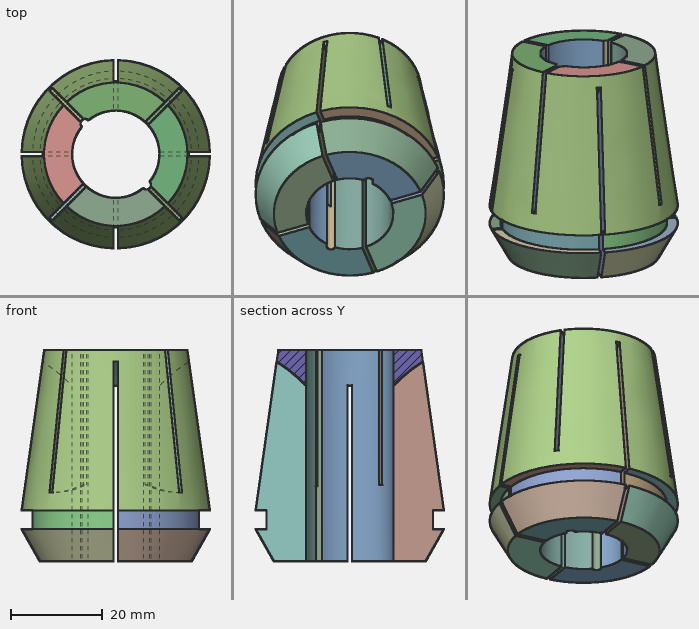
import cadquery as cq

height = 46.0
outer_radius = 20.495
top_radius = 15.6
base_radius = 16.5
bore_radius = 9.48

groove_radius = 18.12
groove_bottom = 7.05
groove_top = 11.15

slot_width = 0.87
cutter_radius = 32.2
lower_slot_top_outer = 43.45
lower_slot_top_bore = 38.2
upper_slot_floor_outer = 14.95
upper_slot_floor_bore = 16.7

relief_radius = 0.95

clearance = 2.3


def taper_radius(z):
    """Radius of the long taper at height z."""
    fraction = (z - groove_top) / (height - groove_top)
    return outer_radius + fraction * (top_radius - outer_radius)


def slot_cutter(end_outer, end_bore, open_z, arc_radius):
    """Radial slot along +X from the arc-shaped end to open_z."""
    inside = bore_radius - clearance
    outside = outer_radius + clearance
    return (
        cq.Workplane("XZ")
        .moveTo(inside, open_z)
        .lineTo(inside, end_bore)
        .lineTo(bore_radius, end_bore)
        .radiusArc((taper_radius(end_outer), end_outer), arc_radius)
        .lineTo(outside, end_outer)
        .lineTo(outside, open_z)
        .close()
        .extrude(slot_width / 2, both=True)
    )


def cut_around(body, cutter, angles):
    """Cut copies of the cutter, turned about Z to each angle."""
    for angle in angles:
        body = body.cut(cutter.rotate((0, 0, 0), (0, 0, 1), angle))
    return body


body = (
    cq.Workplane("XZ")
    .moveTo(bore_radius, 0)
    .lineTo(base_radius, 0)
    .lineTo(outer_radius, groove_bottom)
    .lineTo(groove_radius, groove_bottom)
    .lineTo(groove_radius, groove_top)
    .lineTo(outer_radius, groove_top)
    .lineTo(top_radius, height)
    .lineTo(bore_radius, height)
    .close()
    .revolve(360, (0, 0, 0), (0, 1, 0))
)

lower_slot = slot_cutter(lower_slot_top_outer, lower_slot_top_bore, -clearance, cutter_radius)
body = cut_around(body, lower_slot, (0, 90, 180, 270))

upper_slot = slot_cutter(upper_slot_floor_outer, upper_slot_floor_bore, height + clearance, -cutter_radius)
body = cut_around(body, upper_slot, (45, 135, 225, 315))

relief = cq.Workplane("XY").center(bore_radius, 0).circle(relief_radius).extrude(height)
result = cut_around(body, relief, (135, 315))